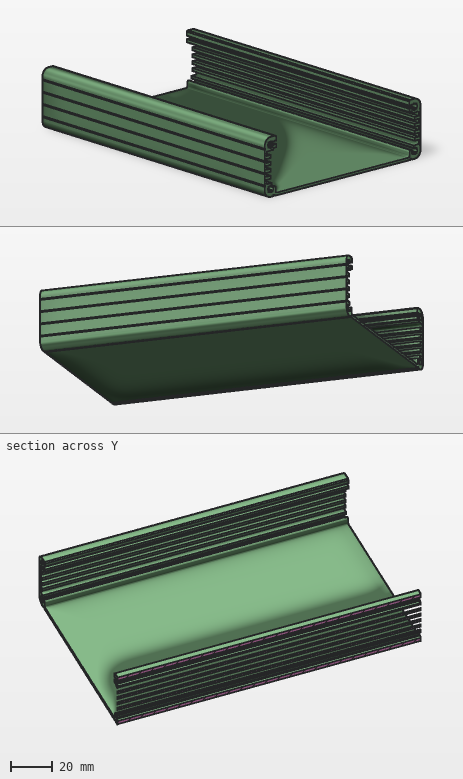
import cadquery as cq
length = 160.0
width = 103.0
height = 30.5
corner_radius = 4.0

floor_thickness = 1.5
wall_thickness = 1.3

channel_inset = 4.0
channel_height = 4.0
channel_side = 2.7
channel_bore = 3.4
channel_inner = channel_inset - channel_side / 2
channel_outer = channel_inset + channel_side / 2
channel_near = channel_height - channel_side / 2
channel_far = channel_height + channel_side / 2

arm_thickness = 1.6
arm_root_radius = 0.6
lip_reach = 7.7
lip_chamfer = 0.6
lower_arm_reach = 4.6
rib_reach = 7.4
rib_height = 5.0
rib_tip_radius = 1.0
rib_root_radius = 0.8
hook_gap = 1.8
hook_thickness = 1.6
arm_toe_reach = 5.5
hook_root_reach = 6.0

fin_count = 4
fin_pitch = 3.5
fin_thickness = 1.52
fin_reach = 4.0

side_groove_radius = 0.3
side_groove_count = 4
side_groove_pitch = 6.2
side_groove_lowest = 6.2
floor_groove_inset = 6.2
floor_groove_radius = 0.56


def extrude(points):
    """Extrude an outline of (inset from the -Y face, height) points over the full length."""
    outline = [(inset - width / 2, z) for inset, z in points]
    return cq.Workplane("YZ").polyline(outline).close().extrude(length)


def bar(inset_start, inset_end, z_start, z_end):
    """Full-length rectangular bar."""
    return extrude([
        (inset_start, z_start),
        (inset_end, z_start),
        (inset_end, z_end),
        (inset_start, z_end),
    ])


def round_root(body, inset, z, radius):
    """Fillet the lengthwise corner of the profile at the given inset and height."""
    corner = cq.selectors.NearestToPointSelector((length / 2, inset - width / 2, z))
    return body.edges(corner).fillet(radius)


def screw_channel(z):
    """Cutter for one screw channel centred at height z."""
    half = channel_side / 2
    square = bar(channel_inner, channel_outer, z - half, z + half)
    bore = (
        cq.Workplane("YZ")
        .center(channel_inset - width / 2, z)
        .circle(channel_bore / 2)
        .extrude(length)
    )
    return square.union(bore)


def lower_corner():
    """Lower screw channel walls: an arm from the side and a round-tipped rib from the floor."""
    arm = bar(0, lower_arm_reach, 0, channel_far + arm_thickness)
    rib = bar(0, rib_reach, 0, rib_height).cut(bar(0, channel_outer, channel_near, height))
    rib = rib.edges("|X and >Z").fillet(rib_tip_radius)
    return arm.cut(screw_channel(channel_height)).union(rib.cut(screw_channel(channel_height)))


def upper_corner():
    """Top lip with a chamfered inner edge, and the hooked arm below it."""
    lip = bar(0, lip_reach, height - channel_near, height)
    lip = lip.edges("|X and >Y and >Z").chamfer(lip_chamfer)
    side = bar(0, channel_inner, height - channel_far, height)
    arm_top = height - channel_far
    hook_top = height - channel_near - hook_gap
    hook_bottom = hook_top - hook_thickness
    hooked_arm = extrude([
        (0, arm_top - arm_thickness),
        (arm_toe_reach, arm_top - arm_thickness),
        (hook_root_reach, hook_bottom),
        (lip_reach, hook_bottom),
        (lip_reach, hook_top),
        (channel_outer, hook_top),
        (channel_outer, arm_top),
        (0, arm_top),
    ])
    return lip.union(side).union(hooked_arm).cut(screw_channel(height - channel_height))


def round_groove(inset, z, radius):
    """Cutter for a half-round groove whose centre lies on the outer face."""
    return cq.Workplane("YZ").center(inset - width / 2, z).circle(radius).extrude(length)


def half_tray():
    """The -Y half of the tray, from the side wall to the middle of the floor."""
    half = bar(0, width / 2, 0, floor_thickness)
    half = half.union(bar(0, wall_thickness, 0, height))
    half = half.union(lower_corner()).union(upper_corner())
    half = round_root(half, rib_reach, floor_thickness, rib_root_radius)
    half = round_root(half, wall_thickness, channel_far + arm_thickness, arm_root_radius)
    half = round_root(half, wall_thickness, height - channel_far - arm_thickness, arm_root_radius)
    for i in range(fin_count):
        z = height / 2 + (i - (fin_count - 1) / 2) * fin_pitch
        half = half.union(bar(0, fin_reach, z - fin_thickness / 2, z + fin_thickness / 2))
    half = half.edges("|X and <Y").fillet(corner_radius)
    for i in range(side_groove_count):
        half = half.cut(round_groove(0, side_groove_lowest + i * side_groove_pitch, side_groove_radius))
    return half.cut(round_groove(floor_groove_inset, 0, floor_groove_radius))


near_half = half_tray()
result = near_half.union(near_half.mirror("XZ")).clean()